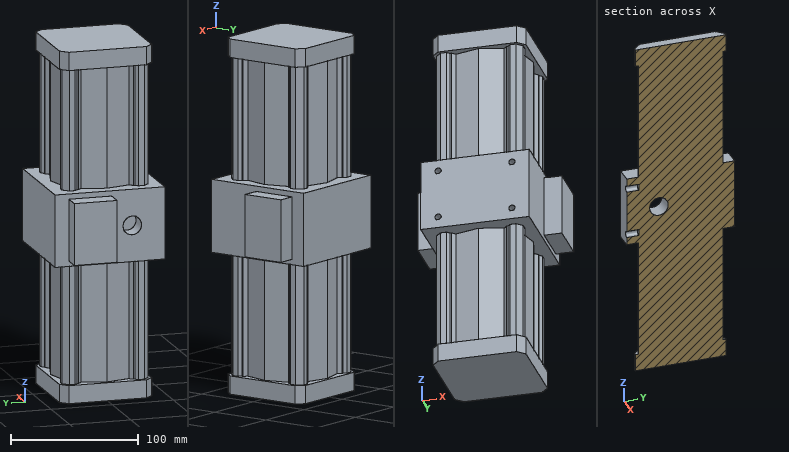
import cadquery as cq

total_height = 284.0
total_width = 117.0

cap_side = 75.5
cap_thickness = 14.8
cap_chamfer = 6.0

tube_half = 35.2
tube_chamfer = 4.5
post_inner_edge = 25.8
upper_step = 2.3
ledge_width = 1.0
lower_step = 2.8

block_width = 88.0
block_depth = 90.0
block_height = 58.5

pad_depth = 35.0
pad_height = 50.0
pad_center_y = 16.2

port_diameter = 15.0
port_center_y = -18.2
port_hole_depth = 15.0

mount_diameter = 4.8
mount_hole_depth = 10.0
mount_spacing_x = 60.0
mount_spacing_z = 40.0


def make_tube():
    """Tube profile built from one side's outline, repeated on all four sides."""
    upper_foot = post_inner_edge - upper_step
    lower_head = upper_foot - ledge_width
    lower_foot = lower_head - lower_step
    ledge_level = tube_half - upper_step
    valley_level = ledge_level - lower_step

    half_side = [
        (lower_foot, valley_level),
        (lower_head, ledge_level),
        (upper_foot, ledge_level),
        (post_inner_edge, tube_half),
        (tube_half - tube_chamfer, tube_half),
    ]
    mirrored_half = [(-across, out) for across, out in reversed(half_side)]
    ridge = (0, tube_half)
    side = mirrored_half + [ridge] + half_side

    outline = []
    for _ in range(4):
        outline += side
        side = [(y, -x) for x, y in side]

    length = total_height - 2 * cap_thickness
    return cq.Workplane("XY").workplane(offset=-length / 2).polyline(outline).close().extrude(length)


def make_cap(direction):
    """Square end cap with chamfered corners; direction is +1 for the top, -1 for the bottom."""
    center_z = direction * (total_height - cap_thickness) / 2
    cap = cq.Workplane("XY").box(cap_side, cap_side, cap_thickness)
    return cap.edges("|Z").chamfer(cap_chamfer).translate((0, 0, center_z))


def make_block():
    """Central block with a pad on each X side."""
    block = cq.Workplane("XY").box(block_width, block_depth, block_height)
    pads = cq.Workplane("XY").box(total_width, pad_depth, pad_height)
    return block.union(pads.translate((0, pad_center_y, 0)))


def make_port():
    """Blind hole cutter entering the -X face."""
    face = cq.Workplane("YZ", origin=(-block_width / 2, port_center_y, 0))
    return face.circle(port_diameter / 2).extrude(port_hole_depth)


def make_mount_holes():
    """Four blind hole cutters entering the -Y face."""
    face = cq.Workplane("XZ", origin=(0, -block_depth / 2, 0))
    centers = face.rarray(mount_spacing_x, mount_spacing_z, 2, 2)
    return centers.circle(mount_diameter / 2).extrude(-mount_hole_depth)


result = (
    make_tube()
    .union(make_cap(1))
    .union(make_cap(-1))
    .union(make_block())
    .cut(make_port())
    .cut(make_mount_holes())
)